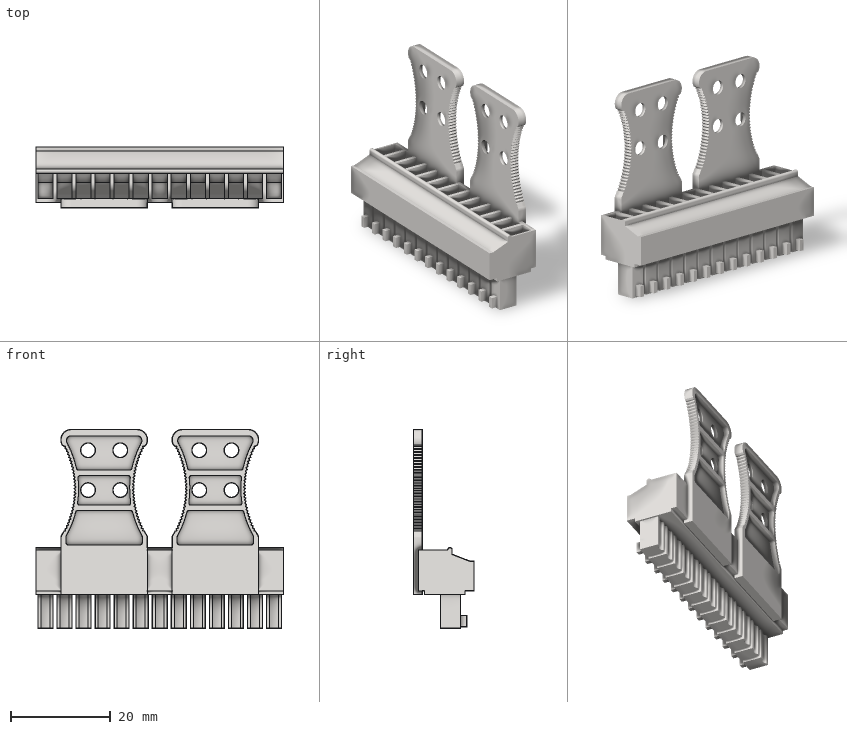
import cadquery as cq
import math


housing_length = 49.55
pole_count = 13
pole_pitch = housing_length / pole_count
pole_width = 3.0

handle_spacing = 22.25
handle_width = 17.35
handle_thickness = 1.85
handle_bottom = 6.75
handle_top = 39.75
corner_radius = 2.1
corner_sweep = 30.0
shoulder_bottom = 18.1
shoulder_radius = 1.1
shoulder_angle = 38.0

waist_height = 27.95
waist_half_width = 6.0
grip_radius = 18.35
tooth_depth = 0.3
tooth_count = 27
tooth_angle = 2.0
grip_end_x = 8.0
grip_end_rise = 8.45
grip_center_x = waist_half_width + grip_radius

panel_depth = 1.1
panel_border = 0.9
panel_half_width = 7.65
panel_corner_radius = 0.45
top_panel_corner_radius = 0.95
top_panel = (31.65, 38.5)
middle_panel = (24.6, 30.55)
lower_panel = (16.7, 23.6)
hole_diameter = 2.85
hole_spacing_x = 6.45
hole_heights = (27.65, 35.6)

housing_front = 1.05
housing_back = 12.2
housing_bottom = 7.5
housing_top = 15.7
foot_front = 2.25
foot_back = 10.35
foot_bottom = handle_bottom
rib_front = 6.9
rib_back = 7.8
ramp_top = 14.8
ramp_bottom = 13.4
ramp_back = 11.35

pocket_floor = 13.3
pocket_floor_front = 2.6
pocket_floor_back = 5.1
pocket_step = 0.4
pocket_front_rise = 0.2

plug_front = 5.4
plug_back = 9.45
groove_width = 1.8
groove_depth = 0.45
latch_width = 1.0
latch_back = 10.7
latch_bottom = 0.3
latch_top = 2.6

pole_positions = [(i - (pole_count - 1) / 2) * pole_pitch for i in range(pole_count)]
handle_positions = [-handle_spacing / 2, handle_spacing / 2]


def box(x_range, y_range, z_range):
    """Box between the given limits on each axis."""
    size = [high - low for low, high in (x_range, y_range, z_range)]
    return cq.Workplane("XY").box(*size, centered=False).translate((x_range[0], y_range[0], z_range[0]))


def grip_point(radius, degrees):
    """Point on the right grip, at an angle above the waist."""
    angle = math.radians(degrees)
    return (grip_center_x - radius * math.cos(angle), waist_height + radius * math.sin(angle))


def grip_x(radius, height):
    """Half width of a circle concentric with the grip, at a height."""
    return grip_center_x - math.sqrt(radius**2 - (height - waist_height) ** 2)


def tooth_points():
    """Valleys and tips of the right grip, from bottom to top."""
    points = []
    for step in range(2 * tooth_count + 1):
        radius = grip_radius + (tooth_depth if step % 2 == 0 else 0)
        points.append(grip_point(radius, (step - tooth_count) * tooth_angle / 2))
    return points


def right_half_outline():
    """Half of the handle plate, to the right of its centre line."""
    half_width = handle_width / 2
    shoulder_x = half_width - shoulder_radius

    def shoulder_point(degrees):
        angle = math.radians(degrees)
        return (shoulder_x + shoulder_radius * math.cos(angle),
                shoulder_bottom + shoulder_radius * math.sin(angle))

    corner_x = half_width - corner_radius
    corner_z = handle_top - corner_radius
    sweep = math.radians(corner_sweep)
    corner_end = (corner_x + corner_radius * math.cos(sweep), corner_z - corner_radius * math.sin(sweep))

    outline = (
        cq.Workplane("XZ")
        .moveTo(0, handle_bottom)
        .lineTo(half_width, handle_bottom)
        .lineTo(half_width, shoulder_bottom)
        .threePointArc(shoulder_point(shoulder_angle / 2), shoulder_point(shoulder_angle))
        .lineTo(grip_end_x, waist_height - grip_end_rise)
    )
    for point in tooth_points():
        outline = outline.lineTo(*point)
    return (
        outline.lineTo(grip_end_x, waist_height + grip_end_rise)
        .lineTo(*corner_end)
        .threePointArc((half_width, corner_z), (corner_x, handle_top))
        .lineTo(0, handle_top)
        .close()
    )


def panel_cutter(heights):
    """Recess between two heights whose sides run parallel to the grips."""
    bottom, top = heights
    radius = grip_radius + panel_border
    top_x = grip_x(radius, top)
    bottom_x = min(grip_x(radius, bottom), panel_half_width)
    has_straight_sides = bottom < waist_height and bottom_x == panel_half_width
    curve_start = bottom
    if has_straight_sides:
        curve_start = waist_height - math.sqrt(radius**2 - (grip_center_x - bottom_x) ** 2)
    middle = (curve_start + top) / 2
    middle_x = grip_x(radius, middle)

    outline = cq.Workplane("XZ").moveTo(-bottom_x, bottom).lineTo(bottom_x, bottom)
    if has_straight_sides:
        outline = outline.lineTo(bottom_x, curve_start)
    outline = outline.threePointArc((middle_x, middle), (top_x, top)).lineTo(-top_x, top)
    outline = outline.threePointArc((-middle_x, middle), (-bottom_x, curve_start))
    return outline.close().extrude(-panel_depth)


def make_handle(center_x):
    """Pull handle with serrated sides, recessed panels and four holes."""
    half = right_half_outline().extrude(-handle_thickness)
    plate = half.union(half.mirror("YZ"))

    upper = panel_cutter(top_panel)
    upper = upper.edges("|Y and >Z").fillet(top_panel_corner_radius)
    upper = upper.edges("|Y and <Z").fillet(panel_corner_radius)
    plate = plate.cut(upper)
    for heights in (middle_panel, lower_panel):
        plate = plate.cut(panel_cutter(heights).edges("|Y").fillet(panel_corner_radius))

    hole_points = [(side * hole_spacing_x / 2, z) for side in (-1, 1) for z in hole_heights]
    holes = cq.Workplane("XZ").pushPoints(hole_points).circle(hole_diameter / 2).extrude(-handle_thickness)
    return plate.cut(holes).translate((center_x, 0, 0))


def extrude_section(outline, center_x, width):
    """Extrude a YZ outline over a width centred on a position along X."""
    return outline.extrude(width).translate((center_x - width / 2, 0, 0))


def housing_body():
    """Housing section with its stepped foot, rear ramp and round-topped rib."""
    rib_middle = (rib_front + rib_back) / 2
    rib_radius = (rib_back - rib_front) / 2
    outline = (
        cq.Workplane("YZ")
        .moveTo(housing_front, housing_bottom)
        .lineTo(housing_front, housing_top)
        .lineTo(rib_front, housing_top)
        .threePointArc((rib_middle, housing_top + rib_radius), (rib_back, housing_top))
        .lineTo(rib_back, ramp_top)
        .lineTo(ramp_back, ramp_bottom)
        .lineTo(housing_back, ramp_bottom)
        .lineTo(housing_back, housing_bottom)
        .lineTo(foot_back, housing_bottom)
        .lineTo(foot_back, foot_bottom)
        .lineTo(foot_front, foot_bottom)
        .lineTo(foot_front, housing_bottom)
        .close()
    )
    return extrude_section(outline, 0, housing_length)


def wire_pocket(center_x):
    """Open-topped wire entry with a sloped back wall."""
    outline = cq.Workplane("YZ").polyline([
        (handle_thickness, housing_top),
        (handle_thickness, pocket_floor + pocket_front_rise),
        (pocket_floor_front, pocket_floor),
        (pocket_floor_back, pocket_floor),
        (pocket_floor_back, pocket_floor + pocket_step),
        (rib_front, housing_top),
    ]).close()
    return extrude_section(outline, center_x, pole_width)


def plug(center_x):
    """Plug below the foot, with a round groove in front and a latch behind."""
    half_width = pole_width / 2
    half_groove = groove_width / 2
    block = (
        cq.Workplane("XY")
        .moveTo(-half_width, plug_front)
        .lineTo(-half_groove, plug_front)
        .threePointArc((0, plug_front + groove_depth), (half_groove, plug_front))
        .lineTo(half_width, plug_front)
        .lineTo(half_width, plug_back)
        .lineTo(-half_width, plug_back)
        .close()
        .extrude(foot_bottom)
    )
    latch = box((-latch_width / 2, latch_width / 2), (plug_back, latch_back), (latch_bottom, latch_top))
    return block.union(latch).translate((center_x, 0, 0))


def handle_slot(center_x):
    """Full-height slot in the housing front wall that takes one handle."""
    half_width = handle_width / 2
    return box(
        (center_x - half_width, center_x + half_width),
        (housing_front, handle_thickness),
        (housing_bottom, housing_top),
    )


def make_housing():
    """Connector housing with one pocket and one plug for every pole."""
    body = housing_body()
    for x in pole_positions:
        body = body.cut(wire_pocket(x)).union(plug(x))
    for x in handle_positions:
        body = body.cut(handle_slot(x))
    return body


housing = make_housing()
handles = [make_handle(x) for x in handle_positions]

result = cq.Compound.makeCompound([housing.val(), *[handle.val() for handle in handles]])